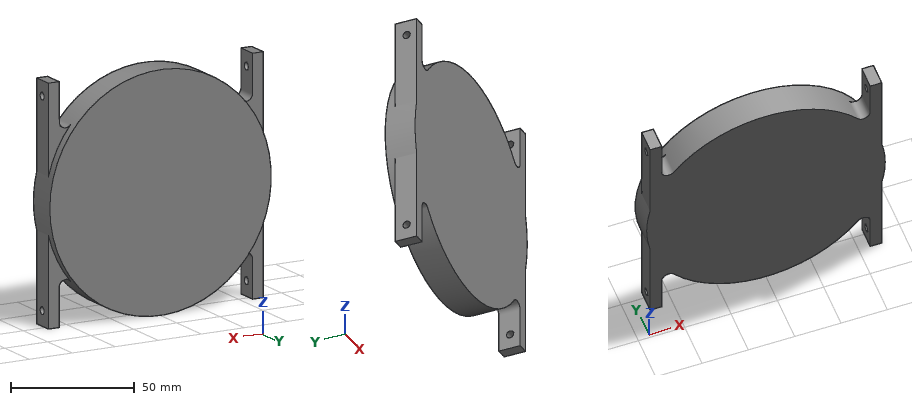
import cadquery as cq
import math

disc_diameter = 103.0
disc_depth = 13.5
arm_length = 103.0
arm_span = 100.0
arm_thickness = 5.0
arm_depth = 9.7
fillet_radius = 3.0
hole_diameter = 3.2
hole_end_distance = 6.6
hole_front_distance = 4.5

disc_radius = disc_diameter / 2
arm_center_x = (arm_span - arm_thickness) / 2
arm_inner_x = arm_span / 2 - arm_thickness
corner_z = math.sqrt(disc_radius**2 - arm_inner_x**2)
hole_z = arm_length / 2 - hole_end_distance


def make_disc(depth):
    """Disc with its front face on Y = 0, extending toward +Y."""
    return cq.Workplane("XZ").circle(disc_radius).extrude(-depth)


def make_arm(side):
    """Upright bar on one side (-1 or +1) of the disc, drilled along X near both ends."""
    center_x = side * arm_center_x
    bar = (
        cq.Workplane("XZ")
        .center(center_x, 0)
        .rect(arm_thickness, arm_length)
        .extrude(-arm_depth)
    )
    holes = (
        cq.Workplane("YZ", origin=(center_x, 0, 0))
        .pushPoints([(hole_front_distance, -hole_z), (hole_front_distance, hole_z)])
        .circle(hole_diameter / 2)
        .extrude(arm_thickness / 2, both=True)
    )
    return bar.cut(holes)


def fillet_inner_corners(body):
    """Round the four corners where the inner faces of the arms meet the disc rim."""
    for side in (-1, 1):
        for end in (-1, 1):
            corner = (side * arm_inner_x, arm_depth / 2, end * corner_z)
            nearest = cq.NearestToPointSelector(corner)
            body = body.edges("|Y").edges(nearest).fillet(fillet_radius)
    return body


disc_with_arms = make_disc(disc_depth).union(make_arm(-1)).union(make_arm(1))
result = fillet_inner_corners(disc_with_arms)